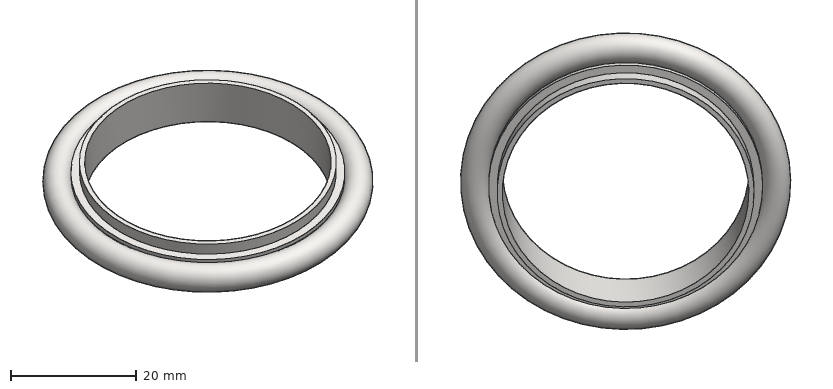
import cadquery as cq

outer_diameter = 52.75
seal_section_diameter = 4.75
seal_section_radius = seal_section_diameter / 2
seal_center_radius = outer_diameter / 2 - seal_section_radius

sleeve_height = 8.0
sleeve_outer_radius = 20.5
bore_radius = 19.65
band_height = 3.9
band_outer_radius = 21.9


def make_seal_ring():
    """O-ring centred on the origin with its axis along Z."""
    return cq.Workplane("XY").add(cq.Solid.makeTorus(seal_center_radius, seal_section_radius))


def make_cylinder(radius, height):
    """Cylinder centred on the origin with its axis along Z."""
    return cq.Workplane("XY").circle(radius).extrude(height / 2, both=True)


def make_centering_ring(seal):
    """Banded sleeve with a through bore and a concave seat for the seal."""
    sleeve = make_cylinder(sleeve_outer_radius, sleeve_height)
    band = make_cylinder(band_outer_radius, band_height)
    bore = make_cylinder(bore_radius, sleeve_height)
    return sleeve.union(band).cut(bore).cut(seal)


seal_ring = make_seal_ring()
centering_ring = make_centering_ring(seal_ring)

result = cq.Compound.makeCompound([centering_ring.val(), seal_ring.val()])